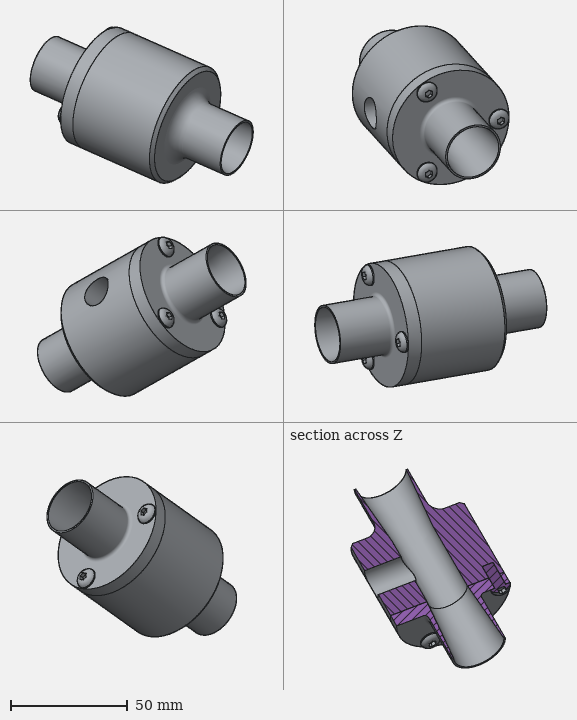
import cadquery as cq
import math

stub_length = 25.4
cap_thickness = 6.35
body_length = 47.625
cap_face_x = stub_length
joint_x = cap_face_x + cap_thickness
body_end_x = cap_face_x + body_length
outlet_end_x = body_end_x + stub_length

body_radius = 53.98 / 2
tube_radius = 25.4 / 2
mouth_radius = 23.8 / 2
bore_radius = 19.05 / 2

taper_length = joint_x

cap_fillet = 1.5875

rim_chamfer = 1.5875
outlet_fillet = 6.35
outlet_fillet_foot_radius = 35.56 / 2
port_radius = 13.72 / 2
port_x = 50.8

screw_count = 3
screw_circle_radius = 22.225
first_screw_angle = 180
shank_radius = 4.83 / 2
shank_length = 12.7
head_radius = 9.17 / 2
head_flat_radius = 3.86 / 2
head_height = 2.565
head_lip = 0.6
socket_width = 3.175
socket_depth = 1.8


def revolve_about_x(profile):
    """Close a half profile drawn in XY and spin it about the X axis."""
    return profile.close().revolve(360, (0, 0, 0), (1, 0, 0))


def screw_positions():
    """(Y, Z) centres of the screws."""
    positions = []
    for index in range(screw_count):
        angle = math.radians(first_screw_angle + index * 360 / screw_count)
        y = screw_circle_radius * math.cos(angle)
        z = screw_circle_radius * math.sin(angle)
        positions.append((y, z))
    return positions


def make_shank(y, z):
    """Plain shank running from the cap face into the housing."""
    return cq.Workplane("YZ", origin=(cap_face_x, y, z)).circle(shank_radius).extrude(shank_length)


def cut_screw_holes(body):
    """Cut a hole for every screw shank."""
    for y, z in screw_positions():
        body = body.cut(make_shank(y, z))
    return body


def make_cap():
    """Inlet tube and flange with a bore that narrows towards the housing."""
    fillet_dip = cap_fillet * (1 - math.sqrt(0.5))
    profile = (
        cq.Workplane("XY")
        .moveTo(0, mouth_radius)
        .lineTo(0, tube_radius)
        .lineTo(cap_face_x - cap_fillet, tube_radius)
        .threePointArc(
            (cap_face_x - fillet_dip, tube_radius + fillet_dip),
            (cap_face_x, tube_radius + cap_fillet),
        )
        .lineTo(cap_face_x, body_radius)
        .lineTo(joint_x, body_radius)
        .lineTo(joint_x, bore_radius)
    )
    return cut_screw_holes(revolve_about_x(profile))


def make_housing():
    """Main barrel with outlet tube and a side port on +Y."""
    center_r = tube_radius + outlet_fillet
    foot_angle = math.asin((center_r - outlet_fillet_foot_radius) / outlet_fillet)
    center_x = body_end_x + outlet_fillet * math.cos(foot_angle)
    mid_angle = (foot_angle + math.pi / 2) / 2
    fillet_middle = (
        center_x - outlet_fillet * math.cos(mid_angle),
        center_r - outlet_fillet * math.sin(mid_angle),
    )
    profile = (
        cq.Workplane("XY")
        .moveTo(joint_x, bore_radius)
        .lineTo(joint_x, body_radius)
        .lineTo(body_end_x - rim_chamfer, body_radius)
        .lineTo(body_end_x, body_radius - rim_chamfer)
        .lineTo(body_end_x, outlet_fillet_foot_radius)
        .threePointArc(fillet_middle, (center_x, tube_radius))
        .lineTo(outlet_end_x, tube_radius)
        .lineTo(outlet_end_x, mouth_radius)
        .lineTo(outlet_end_x - taper_length, bore_radius)
    )
    port = cq.Workplane("XZ", origin=(port_x, 0, 0)).circle(port_radius).extrude(-body_radius)
    return cut_screw_holes(revolve_about_x(profile).cut(port))


def make_screw(y, z):
    """Button head screw with a hexagon socket."""
    dome_width = head_radius - head_flat_radius
    dome_drop = head_height - head_lip
    dome_arc_radius = math.hypot(dome_width, dome_drop) ** 2 / (2 * dome_drop)
    half_sweep = math.asin(dome_width / dome_arc_radius) / 2
    dome_middle = (
        -head_height + dome_arc_radius * (1 - math.cos(half_sweep)),
        head_flat_radius + dome_arc_radius * math.sin(half_sweep),
    )
    head = revolve_about_x(
        cq.Workplane("XY")
        .lineTo(0, head_radius)
        .lineTo(-head_lip, head_radius)
        .threePointArc(dome_middle, (-head_height, head_flat_radius))
        .lineTo(-head_height, 0)
    )

    corner_diameter = socket_width / math.cos(math.pi / 6)
    hexagon = (
        cq.Workplane("YZ")
        .polygon(6, corner_diameter)
        .extrude(socket_depth)
        .rotate((0, 0, 0), (1, 0, 0), 90)
        .translate((-head_height, 0, 0))
    )
    head = head.cut(hexagon)
    return head.translate((cap_face_x, y, z)).union(make_shank(y, z))


cap = make_cap()
housing = make_housing()
screws = [make_screw(y, z) for y, z in screw_positions()]

result = cq.Compound.makeCompound([cap.val(), housing.val(), *[screw.val() for screw in screws]])